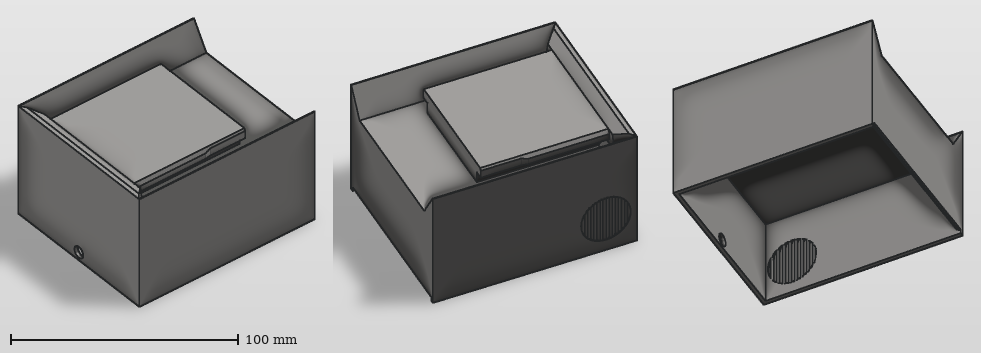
import cadquery as cq
import math

WIDTH = 85.0
LENGTH = 99.1
HEIGHT = 60.4
WALL = 2.0

FLOOR_Z = 46.5
FLOOR_INSET = 9.0
SIDE_RIM = 0.4
RAMP_END_Y = 11.0
RAMP_ANGLE = 44.0

LEDGE_RIM = 2.4
LEDGE_BACK_Y = 7.7
MITRE_ANGLE = 39.5
MITRE_LEAN = 9.0

LID_TOP_Z = 57.4
LID_BOTTOM_Z = 52.1
LID_BACK_Y = 70.0
LID_TOP_INSET = 13.3
LID_FRONT_INSET = 12.2
LID_REAR_INSET = 12.7
LID_STEP_Y = 47.1
LID_STEP_LENGTH = 3.2
BEVEL_SLOPE = 2.0
NECK_INSET = 16.6

CABLE_HOLE_DIAMETER = 6.0
CABLE_HOLE_Z = 4.5
BACK_GAP = 2.0
BACK_STEP_Z = 2.8

GRILLE_DIAMETER = 24.1
GRILLE_Y = 15.1
GRILLE_Z = 17.9
SLAT_PITCH = 3.0
SLAT_WIDTH = 1.4
SLAT_TILT = 33.8
SLAT_RECESS = 0.1
FIRST_SLAT_Y = 1.7
SLAT_COUNT = 9

HALF_WIDTH = WIDTH / 2


def centred_box(width, y_start, y_end, z_start, z_end):
    """Box centred on X."""
    box = cq.Workplane("XY").box(width, y_end - y_start, z_end - z_start, centered=(True, False, False))
    return box.translate((0, y_start, z_start))


def extrude_across(profile, half_width):
    """Extrude a closed (Y, Z) profile symmetrically along X."""
    return cq.Workplane("YZ").polyline(profile).close().extrude(half_width, both=True)


def make_shell():
    """Block with the sloping tray cut in its top and a cavity open at the bottom."""
    block = centred_box(WIDTH, 0, LENGTH, 0, HEIGHT)
    rim = HALF_WIDTH - SIDE_RIM
    floor = HALF_WIDTH - FLOOR_INSET
    tray_section = [(-rim, HEIGHT), (-floor, FLOOR_Z), (floor, FLOOR_Z), (rim, HEIGHT)]
    tray = cq.Workplane("XZ").polyline(tray_section).close().extrude(-LENGTH)
    cavity = centred_box(WIDTH - 2 * WALL, WALL, LENGTH - WALL, 0, FLOOR_Z - WALL)
    return block.cut(tray).cut(cavity)


def make_ramp():
    """Slope that joins the front wall to the tray floor."""
    base_z = FLOOR_Z - WALL
    crest_z = FLOOR_Z + (RAMP_END_Y - LEDGE_BACK_Y) * math.tan(math.radians(RAMP_ANGLE))
    profile = [
        (0, base_z),
        (0, crest_z),
        (LEDGE_BACK_Y, crest_z),
        (RAMP_END_Y, FLOOR_Z),
        (RAMP_END_Y, base_z),
    ]
    return extrude_across(profile, HALF_WIDTH)


def make_ledge():
    """Front ledge: flat rim, slope down to the lid, and leaning mitred ends."""
    profile = [
        (0, FLOOR_Z),
        (0, HEIGHT),
        (LEDGE_RIM, HEIGHT),
        (LEDGE_BACK_Y, LID_TOP_Z),
        (LEDGE_BACK_Y, FLOOR_Z),
    ]
    bar = extrude_across(profile, HALF_WIDTH)

    mitre = math.radians(MITRE_ANGLE)
    spread = (HEIGHT - FLOOR_Z) * math.tan(math.radians(MITRE_LEAN)) / math.sin(mitre)
    front_low = HALF_WIDTH - SIDE_RIM + spread
    front_high = HALF_WIDTH - SIDE_RIM
    narrowing = LEDGE_BACK_Y / math.tan(mitre)

    def outline(front_half):
        back_half = front_half - narrowing
        return [(-front_half, 0), (front_half, 0), (back_half, LEDGE_BACK_Y), (-back_half, LEDGE_BACK_Y)]

    mitred = (
        cq.Workplane("XY", origin=(0, 0, FLOOR_Z))
        .polyline(outline(front_low)).close()
        .workplane(offset=HEIGHT - FLOOR_Z)
        .polyline(outline(front_high)).close()
        .loft(ruled=True)
    )
    return bar.intersect(mitred)


def make_lid():
    """Lid plate, wider at the front, on its neck."""
    front_half = HALF_WIDTH - LID_FRONT_INSET
    rear_half = HALF_WIDTH - LID_REAR_INSET
    top_half = HALF_WIDTH - LID_TOP_INSET
    side = [
        (front_half, LEDGE_BACK_Y),
        (front_half, LID_STEP_Y),
        (rear_half, LID_STEP_Y + LID_STEP_LENGTH),
        (rear_half, LID_BACK_Y),
    ]
    outline = side + [(-x, y) for x, y in reversed(side)]
    plate = (
        cq.Workplane("XY", origin=(0, 0, LID_BOTTOM_Z))
        .polyline(outline).close()
        .extrude(LID_TOP_Z - LID_BOTTOM_Z)
    )
    bevel_foot_half = top_half + (LID_TOP_Z - LID_BOTTOM_Z) / BEVEL_SLOPE
    bevel_section = [
        (-bevel_foot_half, LID_BOTTOM_Z),
        (-top_half, LID_TOP_Z),
        (top_half, LID_TOP_Z),
        (bevel_foot_half, LID_BOTTOM_Z),
    ]
    bevelled = cq.Workplane("XZ").polyline(bevel_section).close().extrude(-LENGTH)
    neck = centred_box(WIDTH - 2 * NECK_INSET, LEDGE_BACK_Y, LID_BACK_Y, FLOOR_Z - WALL, LID_BOTTOM_Z)
    return plate.intersect(bevelled).union(neck)


def make_cable_hole():
    """Round hole through the front wall."""
    return (
        cq.Workplane("XZ")
        .center(0, CABLE_HOLE_Z)
        .circle(CABLE_HOLE_DIAMETER / 2)
        .extrude(-WALL)
    )


def make_back_relief():
    """Gap under the back wall, stepped higher on the inner half of the wall."""
    inner_width = WIDTH - 2 * WALL
    inner_y = LENGTH - WALL
    gap = centred_box(inner_width, inner_y, LENGTH, 0, BACK_GAP)
    step = centred_box(inner_width, inner_y, inner_y + WALL / 2, 0, BACK_STEP_Z)
    return gap.union(step)


def make_grille_cut():
    """Round opening in the -X wall, less the tilted slats left standing in it."""
    opening = (
        cq.Workplane("YZ", origin=(-HALF_WIDTH, GRILLE_Y, GRILLE_Z))
        .circle(GRILLE_DIAMETER / 2)
        .extrude(WALL)
    )
    outer_x = -HALF_WIDTH + SLAT_RECESS
    inner_x = -HALF_WIDTH + WALL
    lean = (inner_x - outer_x) / math.tan(math.radians(SLAT_TILT))
    for index in range(SLAT_COUNT):
        slat_y = FIRST_SLAT_Y + index * SLAT_PITCH
        section = [
            (outer_x, slat_y),
            (outer_x, slat_y + SLAT_WIDTH),
            (inner_x, slat_y + SLAT_WIDTH + lean),
            (inner_x, slat_y + lean),
        ]
        slat = cq.Workplane("XY").polyline(section).close().extrude(FLOOR_Z)
        opening = opening.cut(slat)
    return opening


housing = make_shell().union(make_ramp()).union(make_ledge()).union(make_lid())
result = housing.cut(make_cable_hole()).cut(make_back_relief()).cut(make_grille_cut())